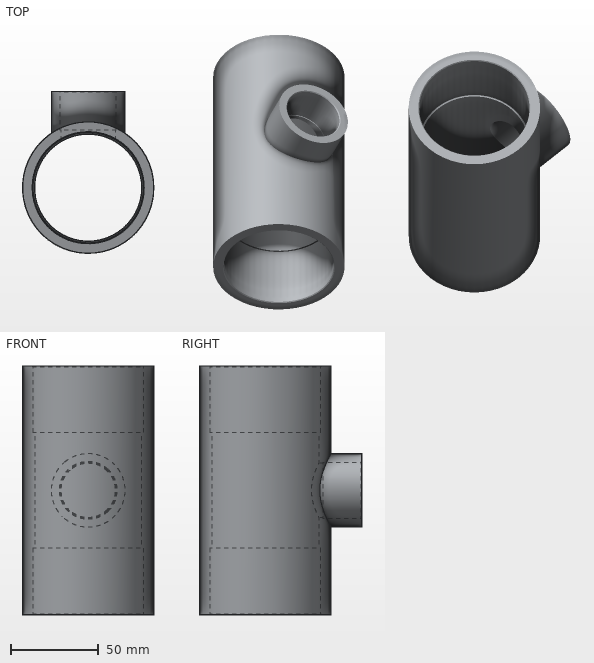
import cadquery as cq

run_outer_diameter = 75.0
run_bore_diameter = 61.0
run_socket_diameter = 63.0
run_length = 142.0
run_socket_depth = 38.0

branch_outer_diameter = 42.0
branch_bore_diameter = 31.0
branch_socket_diameter = 32.0
branch_reach = 55.0
branch_socket_depth = 22.0

mouth_chamfer = 0.5

origin = cq.Vector(0, 0, 0)
up = cq.Vector(0, 0, 1)
down = cq.Vector(0, 0, -1)
branch_direction = cq.Vector(0, 1, 0)


def cylinder(diameter, start, direction, length):
    """Cylinder growing from the point `start` along the unit vector `direction`."""
    return cq.Workplane(cq.Solid.makeCylinder(diameter / 2, length, start, direction))


def socket_cutter(diameter, depth, mouth, outward):
    """Socket going inward from the centre of a pipe mouth, with its lead-in cone."""
    inward = outward * -1
    socket_radius = diameter / 2
    mouth_radius = socket_radius + mouth_chamfer
    lead_in = cq.Solid.makeCone(mouth_radius, socket_radius, mouth_chamfer, mouth, inward)
    return cylinder(diameter, mouth, inward, depth).union(cq.Workplane(lead_in))


def tee_body():
    run = cylinder(run_outer_diameter, down * (run_length / 2), up, run_length)
    branch = cylinder(branch_outer_diameter, origin, branch_direction, branch_reach)
    return run.union(branch)


def cut_run(body):
    """Through bore along Z, widened to a socket at each end."""
    body = body.cut(cylinder(run_bore_diameter, down * (run_length / 2), up, run_length))
    for outward in (up, down):
        mouth = outward * (run_length / 2)
        body = body.cut(socket_cutter(run_socket_diameter, run_socket_depth, mouth, outward))
    return body


def cut_branch(body):
    """Bore from the run axis to the branch mouth, widened to a socket at the mouth."""
    body = body.cut(cylinder(branch_bore_diameter, origin, branch_direction, branch_reach))
    mouth = branch_direction * branch_reach
    return body.cut(socket_cutter(branch_socket_diameter, branch_socket_depth, mouth, branch_direction))


result = cut_branch(cut_run(tee_body()))